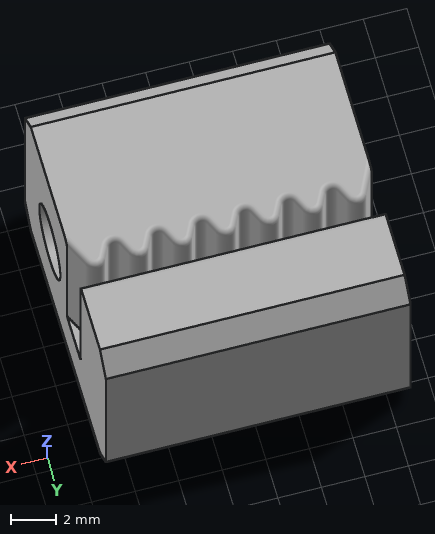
import cadquery as cq
import math

length = 14.0
depth = 13.5
height = 10.0
edge_chamfer = 1.0

slot_depth = 7.0
slot_back_offset = 4.25
lip_radius = 0.3

tooth_count = 7
crest_back_offset = 5.07
crest_radius = 0.5
root_radius = 0.31
flank_angle = math.radians(26)

hole_diameter = 3.5
hole_back_offset = 9.32
hole_below_top = 5.15

back_y = depth / 2
top_z = height / 2
slot_back_y = back_y - slot_back_offset
crest_y = back_y - crest_back_offset

pitch = length / tooth_count
crest_half_width = crest_radius * math.cos(flank_angle)
root_half_width = root_radius * math.cos(flank_angle)
crest_tangent_y = crest_y - crest_radius * (1 - math.sin(flank_angle))
flank_run = pitch / 2 - crest_half_width - root_half_width
root_tangent_y = crest_tangent_y - flank_run / math.tan(flank_angle)
root_y = root_tangent_y - root_radius * (1 - math.sin(flank_angle))
end_y = crest_tangent_y - (pitch / 2 - crest_half_width) / math.tan(flank_angle)


def make_block():
    block = cq.Workplane("XY").box(length, depth, height)
    return block.edges("|X").chamfer(edge_chamfer)


def make_slot():
    """Slot volume bounded by a flat back wall and the toothed front wall."""
    outline = (
        cq.Workplane("XY", origin=(0, 0, top_z - slot_depth))
        .moveTo(-length / 2, slot_back_y)
        .lineTo(-length / 2, end_y)
    )
    for index in range(tooth_count):
        crest_x = (index - (tooth_count - 1) / 2) * pitch
        outline = outline.lineTo(crest_x - crest_half_width, crest_tangent_y)
        outline = outline.threePointArc((crest_x, crest_y), (crest_x + crest_half_width, crest_tangent_y))
        if index < tooth_count - 1:
            root_x = crest_x + pitch / 2
            outline = outline.lineTo(root_x - root_half_width, root_tangent_y)
            outline = outline.threePointArc((root_x, root_y), (root_x + root_half_width, root_tangent_y))
    outline = outline.lineTo(length / 2, end_y).lineTo(length / 2, slot_back_y)
    return outline.close().extrude(slot_depth)


def make_hole():
    return (
        cq.Workplane("YZ", origin=(-length / 2, back_y - hole_back_offset, top_z - hole_below_top))
        .circle(hole_diameter / 2)
        .extrude(length)
    )


def round_slot_rims(body):
    """Round the top edges of both slot walls, found by a box around the slot mouth."""
    margin = 0.14
    mouth = cq.selectors.BoxSelector(
        (-length / 2 + margin, end_y - margin, top_z - margin),
        (length / 2 - margin, slot_back_y + margin, top_z + margin),
    )
    return body.edges(mouth).fillet(lip_radius)


result = round_slot_rims(make_block().cut(make_slot())).cut(make_hole())